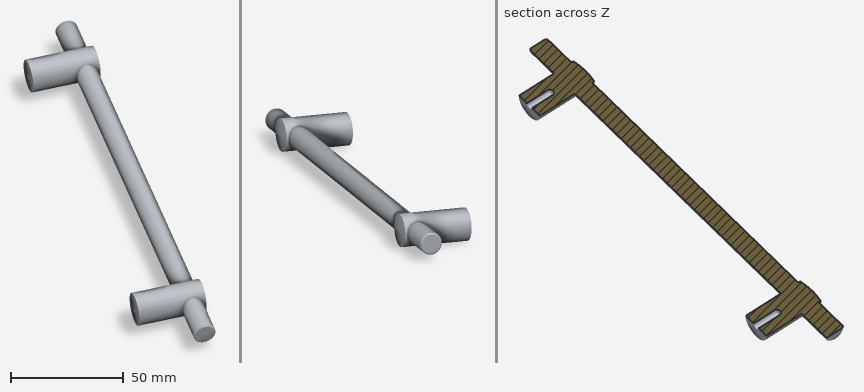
import math

import cadquery as cq

bar_length = 210
bar_diameter = 10.0
bar_chamfer = 0.6

post_spacing = 160.0
post_diameter = 15.0
post_length = 32.0
post_beyond_bar_axis = 7.0
dome_height = 0.75

screw_hole_diameter = 3.4
screw_hole_depth = 12.5
drill_tip_angle = 118

post_radius = post_diameter / 2
foot_y = post_beyond_bar_axis - post_length
rim_y = post_beyond_bar_axis - dome_height


def make_bar():
    bar = cq.Workplane("YZ").circle(bar_diameter / 2).extrude(bar_length / 2, both=True)
    return bar.faces("<X or >X").chamfer(bar_chamfer)


def revolve_about_post_axis(profile):
    return profile.close().revolve(360, (0, 0), (0, 1))


def make_post():
    dome_radius = (post_radius**2 + dome_height**2) / (2 * dome_height)
    profile = (
        cq.Workplane("XY")
        .moveTo(0, foot_y)
        .lineTo(post_radius, foot_y)
        .lineTo(post_radius, rim_y)
        .radiusArc((0, post_beyond_bar_axis), -dome_radius)
    )
    return revolve_about_post_axis(profile)


def make_screw_hole():
    hole_radius = screw_hole_diameter / 2
    hole_end_y = foot_y + screw_hole_depth
    tip_height = hole_radius / math.tan(math.radians(drill_tip_angle / 2))
    profile = (
        cq.Workplane("XY")
        .moveTo(0, foot_y)
        .lineTo(hole_radius, foot_y)
        .lineTo(hole_radius, hole_end_y)
        .lineTo(0, hole_end_y + tip_height)
    )
    return revolve_about_post_axis(profile)


result = make_bar()
for post_x in (-post_spacing / 2, post_spacing / 2):
    place = (post_x, 0, 0)
    result = result.union(make_post().translate(place))
    result = result.cut(make_screw_hole().translate(place))